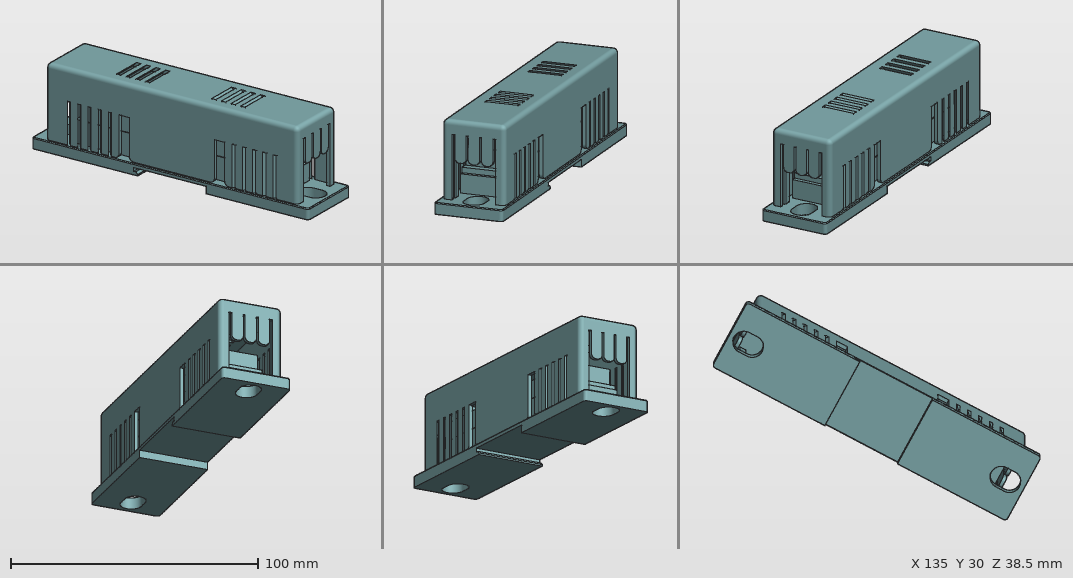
import cadquery as cq

BASE_LENGTH = 135.0
BASE_WIDTH = 30.0
BASE_THICKNESS = 5.0
BASE_CORNER_RADIUS = 1.4
BASE_TOP_CHAMFER = 0.4

MOUNT_HOLE_DIAMETER = 9.0
MOUNT_HOLE_LENGTH = 12.8
MOUNT_HOLE_END_MARGIN = 2.0

RAIL_LEFT_X = -17.8
RAIL_RIGHT_X = 17.5
RAIL_DEPTH = 3.2
LIP_HEIGHT = 1.6
LIP_REACH = 2.0
LIP_CHAMFER = 1.0

CORE_STEPS = [
    (102.0, 20.2, 13.1),
    (98.5, 20.2, 15.4),
    (91.8, 19.5, 23.2),
]

TOTAL_HEIGHT = 38.5
COVER_LENGTH = 123.0
COVER_WIDTH = 27.4
COVER_RADIUS = 2.0
SIDE_WALL = 1.6
TOP_WALL = 2.0

SIDE_OPENING_TOP = 24.0
SIDE_VENT_WIDTH = 1.5
SIDE_VENT_PITCH = 5.0
SIDE_VENT_FIRST_X = 30.1
SIDE_VENT_COUNT = 5
WINDOW_X = 23.2
WINDOW_WIDTH = 5.0
WINDOW_FOOT_RADIUS = 2.0

TOP_VENT_WIDTH = 2.0
TOP_VENT_LENGTH = 14.5
TOP_VENT_PITCH = 4.7
TOP_VENT_FIRST_X = 16.0
TOP_VENT_COUNT = 4

END_OPENING_WIDTH = 19.2
END_OPENING_TOP = 32.5
FINGER_WIDTH = 5.0
FINGER_PITCH = 5.8
FINGER_BOTTOM = 20.8
FINGER_RADIUS = 2.0

POST_LENGTH = 3.2
POST_CENTER_X = 56.8
POST_INNER_Y = 9.2
POST_CHAMFER = 0.5


def box_on(length, width, bottom, top):
    """Box centred on the Z axis between two heights."""
    return cq.Workplane("XY").workplane(offset=bottom).rect(length, width).extrude(top - bottom)


def make_base():
    base = (
        box_on(BASE_LENGTH, BASE_WIDTH, 0, BASE_THICKNESS)
        .edges("|Z").fillet(BASE_CORNER_RADIUS)
        .faces(">Z").chamfer(BASE_TOP_CHAMFER)
    )
    hole_x = BASE_LENGTH / 2 - MOUNT_HOLE_END_MARGIN - MOUNT_HOLE_LENGTH / 2
    holes = (
        cq.Workplane("XY")
        .pushPoints([(-hole_x, 0), (hole_x, 0)])
        .slot2D(MOUNT_HOLE_LENGTH, MOUNT_HOLE_DIAMETER)
        .extrude(BASE_THICKNESS)
    )
    base = base.cut(holes).cut(rail_channel())
    for length, width, top in CORE_STEPS:
        base = base.union(box_on(length, width, BASE_THICKNESS, top))
    return base


def rail_channel():
    lip_x = RAIL_LEFT_X + LIP_REACH
    return (
        cq.Workplane("XZ")
        .moveTo(lip_x, 0)
        .lineTo(lip_x, LIP_HEIGHT - LIP_CHAMFER)
        .lineTo(lip_x - LIP_CHAMFER, LIP_HEIGHT)
        .lineTo(RAIL_LEFT_X, LIP_HEIGHT)
        .lineTo(RAIL_LEFT_X, RAIL_DEPTH)
        .lineTo(RAIL_RIGHT_X, RAIL_DEPTH)
        .lineTo(RAIL_RIGHT_X, 0)
        .close()
        .extrude(BASE_WIDTH / 2, both=True)
    )


def cover_shell():
    outside = (
        box_on(COVER_LENGTH, COVER_WIDTH, BASE_THICKNESS, TOTAL_HEIGHT)
        .edges("|Z or >Z").fillet(COVER_RADIUS)
    )
    cavity = (
        box_on(
            COVER_LENGTH - 2 * SIDE_WALL,
            COVER_WIDTH - 2 * SIDE_WALL,
            BASE_THICKNESS,
            TOTAL_HEIGHT - TOP_WALL,
        )
        .edges("|Z").fillet(COVER_RADIUS - SIDE_WALL)
    )
    return outside.cut(cavity)


def slanted_profile(plane, x, width, surface, wall):
    """Parallelogram through a wall, leaning 45 degrees toward the nearer end on the way in.

    The wall's outer face lies at `surface` on the second axis of `plane`.
    """
    lean = wall if x > 0 else -wall
    inner = surface - wall
    return (
        cq.Workplane(plane)
        .moveTo(x - width / 2, surface)
        .lineTo(x + width / 2, surface)
        .lineTo(x + width / 2 + lean, inner)
        .lineTo(x - width / 2 + lean, inner)
        .close()
    )


def side_vents():
    """Vents through the +Y and -Y walls, near both ends."""
    vents = cq.Workplane("XY")
    height = SIDE_OPENING_TOP - BASE_THICKNESS
    for end in (-1, 1):
        for i in range(SIDE_VENT_COUNT):
            x = end * (SIDE_VENT_FIRST_X + i * SIDE_VENT_PITCH)
            profile = slanted_profile("XY", x, SIDE_VENT_WIDTH, COVER_WIDTH / 2, SIDE_WALL)
            vent = profile.extrude(height).translate((0, 0, BASE_THICKNESS))
            vents = vents.add(vent).add(vent.mirror("XZ"))
    return vents.combine()


def top_vents():
    vents = cq.Workplane("XY")
    for end in (-1, 1):
        for i in range(TOP_VENT_COUNT):
            x = end * (TOP_VENT_FIRST_X + i * TOP_VENT_PITCH)
            profile = slanted_profile("XZ", x, TOP_VENT_WIDTH, TOTAL_HEIGHT, TOP_WALL)
            vents = vents.add(profile.extrude(TOP_VENT_LENGTH / 2, both=True))
    return vents.combine()


def window(x):
    """Window through both long walls, flaring outward along rounded wall corners at the base."""
    half = WINDOW_WIDTH / 2
    foot = half + WINDOW_FOOT_RADIUS
    foot_top = BASE_THICKNESS + WINDOW_FOOT_RADIUS
    return (
        cq.Workplane("XZ")
        .moveTo(-foot, BASE_THICKNESS)
        .radiusArc((-half, foot_top), -WINDOW_FOOT_RADIUS)
        .lineTo(-half, SIDE_OPENING_TOP)
        .lineTo(half, SIDE_OPENING_TOP)
        .lineTo(half, foot_top)
        .radiusArc((foot, BASE_THICKNESS), -WINDOW_FOOT_RADIUS)
        .close()
        .extrude(COVER_WIDTH / 2, both=True)
        .translate((x, 0, 0))
    )


def end_openings():
    """Opening through both end walls, less the fingers that hang into it."""
    opening = box_on(COVER_LENGTH, END_OPENING_WIDTH, BASE_THICKNESS, END_OPENING_TOP)
    for i in (-1, 0, 1):
        finger = (
            box_on(COVER_LENGTH, FINGER_WIDTH, FINGER_BOTTOM, END_OPENING_TOP)
            .edges("|X and <Z").fillet(FINGER_RADIUS)
            .translate((0, i * FINGER_PITCH, 0))
        )
        opening = opening.cut(finger)
    return opening


def corner_post():
    """Post on the inside of the +Y wall near the -X end, reaching the ceiling."""
    inner_wall_y = COVER_WIDTH / 2 - SIDE_WALL
    depth = inner_wall_y - POST_INNER_Y
    return (
        box_on(POST_LENGTH, depth, BASE_THICKNESS, TOTAL_HEIGHT - TOP_WALL)
        .edges("|Z and <X and <Y").chamfer(POST_CHAMFER)
        .translate((-POST_CENTER_X, POST_INNER_Y + depth / 2, 0))
    )


def make_cover():
    cover = cover_shell().cut(end_openings()).cut(side_vents()).cut(top_vents())
    for x in (-WINDOW_X, WINDOW_X):
        cover = cover.cut(window(x))
    for turn in (0, 180):
        cover = cover.union(corner_post().rotate((0, 0, 0), (0, 0, 1), turn))
    return cover


base = make_base()
cover = make_cover()

result = cq.Compound.makeCompound([base.solids().val(), cover.solids().val()])